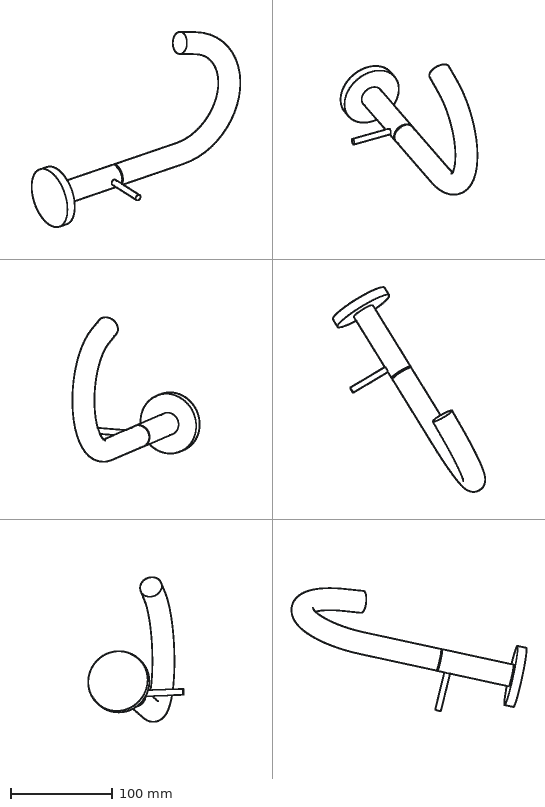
import cadquery as cq
import math


flange_radius = 30.0
flange_thickness = 9.0

sleeve_radius = 11.1
sleeve_length = 72.0

ring_radius = 9.0
ring_length = 1.0

spout_radius = 11.0
bend_radius = 60.0
outlet_length = 20.16
outlet_rise_angle = 18.0
total_depth = 231.26

lever_radius = 3.0
lever_tip_x = 51.11
lever_y = 71.0

sleeve_start_y = flange_thickness
ring_start_y = sleeve_start_y + sleeve_length
spout_start_y = ring_start_y + ring_length
bend_start_y = total_depth - bend_radius - spout_radius


def rod_along_y(radius, start_y, length):
    """Solid cylinder on the pipe axis, from start_y towards +Y."""
    return cq.Workplane("XZ", origin=(0, start_y, 0)).circle(radius).extrude(-length)


def make_spout():
    """Round pipe swept along the straight run, the bend and the outlet."""
    rise = math.radians(outlet_rise_angle)
    bend_angle = math.pi - rise

    def bend_point(angle):
        """Centreline point after turning through the given angle."""
        return (
            bend_start_y + bend_radius * math.sin(angle),
            bend_radius * (1 - math.cos(angle)),
        )

    bend_end = bend_point(bend_angle)
    outlet_end = (
        bend_end[0] - outlet_length * math.cos(rise),
        bend_end[1] + outlet_length * math.sin(rise),
    )
    path = (
        cq.Workplane("YZ")
        .moveTo(spout_start_y, 0)
        .lineTo(bend_start_y, 0)
        .threePointArc(bend_point(bend_angle / 2), bend_end)
        .lineTo(*outlet_end)
    )
    return cq.Workplane("XZ", origin=(0, spout_start_y, 0)).circle(spout_radius).sweep(path)


def make_lever(sleeve):
    """Round rod whose inner end is shaped to sit on the outside of the sleeve."""
    rod = cq.Workplane("YZ", origin=(0, lever_y, 0)).circle(lever_radius).extrude(lever_tip_x)
    return rod.cut(sleeve)


flange = rod_along_y(flange_radius, 0, flange_thickness)
sleeve = rod_along_y(sleeve_radius, sleeve_start_y, sleeve_length)
ring = rod_along_y(ring_radius, ring_start_y, ring_length)
spout = make_spout()
lever = make_lever(sleeve)

result = cq.Compound.makeCompound(
    [flange.val(), sleeve.val(), ring.val(), spout.val(), lever.val()]
)